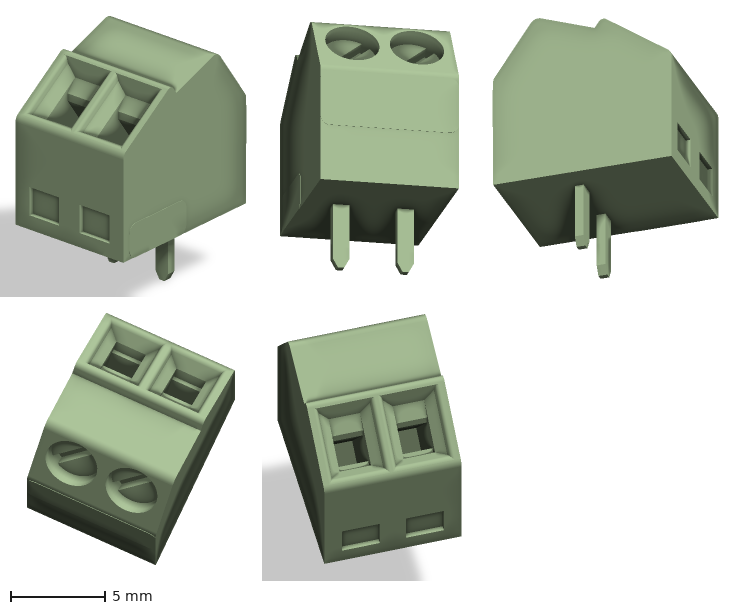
import cadquery as cq
import math


pole_pitch = 3.5
pole_positions = [-pole_pitch / 2, pole_pitch / 2]

housing_width = 7.5
housing_depth = 10.01
front_corner_height = 6.25
back_corner_height = 6.3
wire_face_angle = 35.0
wire_face_length = 4.77
tooth_drop = 0.72
ridge_angle = 20.0
corner_radius = 0.5
tooth_radius = 0.3

funnel_width = 3.34
funnel_top = 4.37
funnel_depth = 0.86
throat_width = 1.72
throat_bottom = 0.87
throat_top = 3.71
side_rim_radius = 0.21
side_rim_turn = 70.0
side_step_inset = 0.27
side_step_depth = 0.34
lower_rim_radius = 0.3
lower_rim_turn = 64.0

lip_position = 2.79
lip_depth = 1.08
clamp_front_depth = 1.45
clamp_length = 4.04
clamp_wall = 0.27
clamp_opening_height = 1.4

screw_diameter = 2.92
screw_axis_depth = 3.5
screw_recess = 0.9
slot_width = 0.55
slot_depth = 0.6
slot_angle = 45.0

pin_width = 0.9
pin_thickness = 0.5
pin_center_y = 5.72
pin_length = 3.5
pin_embedded_length = 2.48
pin_tip_width = 0.34
pin_tip_length = 0.5

window_width = 2.07
window_height = 1.64
window_bottom = 0.83
window_depth = 0.27
pad_thickness = 0.03
pad_corner_radius = 0.5
back_pad_bottom = 3.06
back_pad_height = 3.04
side_pad_front = 0.5
side_pad_length = 4.61
side_pad_height = 2.0

angle = math.radians(wire_face_angle)
up_y, up_z = math.cos(angle), math.sin(angle)
in_y, in_z = math.sin(angle), -math.cos(angle)
wire_origin = (0, 0, front_corner_height)

section_plane = cq.Plane(origin=wire_origin, xDir=(0, up_y, up_z), normal=(-1, 0, 0))
screw_plane = cq.Plane(origin=wire_origin, xDir=(1, 0, 0), normal=(0, up_y, up_z))

back_face_position = housing_depth * up_y + (back_corner_height - front_corner_height) * up_z
screw_head_position = back_face_position - screw_recess

clamp_height = clamp_opening_height + 2 * clamp_wall
clamp_width = throat_width + 2 * clamp_wall
clamp_bottom = throat_bottom
clamp_top = clamp_bottom + clamp_height
clamp_opening_bottom = clamp_bottom + clamp_wall
clamp_opening_top = clamp_opening_bottom + clamp_opening_height


def wire_box(width, bottom, height, front, length):
    """Box lined up with the wire face, centred on X = 0."""
    return (
        cq.Workplane(screw_plane)
        .workplane(offset=bottom)
        .center(0, front + length / 2)
        .rect(width, length)
        .extrude(height)
    )


def housing_block():
    """Side outline of the housing, extruded across the poles and rounded."""
    tooth_y = wire_face_length * up_y
    tooth_z = front_corner_height + wire_face_length * up_z
    valley_y = tooth_y + tooth_drop * in_y
    valley_z = tooth_z + tooth_drop * in_z
    ridge_slope = math.tan(math.radians(ridge_angle))
    back_slope = up_y / up_z
    ridge_y = (back_corner_height + back_slope * housing_depth - valley_z + ridge_slope * valley_y) / (
        ridge_slope + back_slope
    )
    ridge_z = valley_z + ridge_slope * (ridge_y - valley_y)
    block = (
        cq.Workplane("YZ")
        .moveTo(0, 0)
        .lineTo(0, front_corner_height)
        .lineTo(tooth_y, tooth_z)
        .lineTo(valley_y, valley_z)
        .lineTo(ridge_y, ridge_z)
        .lineTo(housing_depth, back_corner_height)
        .lineTo(housing_depth, 0)
        .close()
        .extrude(housing_width / 2, both=True)
    )
    rounded_corners = [
        (0, front_corner_height, corner_radius),
        (tooth_y, tooth_z, tooth_radius),
        (ridge_y, ridge_z, corner_radius),
        (housing_depth, back_corner_height, corner_radius),
    ]
    for corner_y, corner_z, radius in rounded_corners:
        block = block.edges(cq.NearestToPointSelector((0, corner_y, corner_z))).fillet(radius)
    return block


def wire_funnel():
    """Funnel whose lower and side rims are rounded, for one pole at X = 0."""
    rim_bottom = corner_radius * math.tan((math.pi / 2 - angle) / 2)
    lower_turn = math.radians(lower_rim_turn)
    side_turn = math.radians(side_rim_turn)
    half_width = funnel_width / 2

    def lower_rim_point(turned):
        along = rim_bottom + lower_rim_radius * math.sin(turned)
        return along, lower_rim_radius * (1 - math.cos(turned))

    def side_rim_point(turned):
        across = half_width - side_rim_radius * math.sin(turned)
        return across, side_rim_radius * (1 - math.cos(turned))

    walls_up_and_down = (
        cq.Workplane(section_plane)
        .moveTo(rim_bottom, 0)
        .threePointArc(lower_rim_point(lower_turn / 2), lower_rim_point(lower_turn))
        .lineTo(throat_bottom, funnel_depth)
        .lineTo(throat_top, funnel_depth)
        .lineTo(funnel_top, 0)
        .close()
        .extrude(funnel_width, both=True)
    )
    walls_at_sides = (
        cq.Workplane(screw_plane)
        .moveTo(0, 0)
        .lineTo(half_width, 0)
        .threePointArc(side_rim_point(side_turn / 2), side_rim_point(side_turn))
        .lineTo(half_width - side_step_inset, side_step_depth)
        .lineTo(throat_width / 2, funnel_depth)
        .lineTo(0, funnel_depth)
        .mirrorY()
        .extrude(wire_face_length)
    )
    return walls_up_and_down.intersect(walls_at_sides)


def wire_throat():
    """Passage from the funnel to the clamp, narrowed by the sloping lip above it."""
    return (
        cq.Workplane(section_plane)
        .moveTo(throat_bottom, funnel_depth)
        .lineTo(throat_bottom, clamp_front_depth)
        .lineTo(clamp_opening_top, clamp_front_depth)
        .lineTo(lip_position, lip_depth)
        .lineTo(throat_top, funnel_depth)
        .close()
        .extrude(throat_width / 2, both=True)
    )


def clamp_envelope():
    """Outer box of a clamp, which is also its pocket in the housing."""
    return wire_box(clamp_width, clamp_bottom, clamp_height, clamp_front_depth, clamp_length)


def screw_cylinder(end_position):
    """Cylinder on the screw axis from the top of the clamp to the given position."""
    return (
        cq.Workplane(screw_plane)
        .workplane(offset=clamp_top)
        .center(0, screw_axis_depth)
        .circle(screw_diameter / 2)
        .extrude(end_position - clamp_top)
    )


def front_window():
    """Shallow rectangular recess in the front wall, for one pole at X = 0."""
    center_height = window_bottom + window_height / 2
    return (
        cq.Workplane("XZ", origin=(0, 0, center_height))
        .rect(window_width, window_height)
        .extrude(-window_depth)
    )


def back_pad():
    """Thin rounded pad across the whole back wall."""
    center = (0, housing_depth + pad_thickness / 2, back_pad_bottom + back_pad_height / 2)
    return (
        cq.Workplane("XY", origin=center)
        .box(housing_width, pad_thickness, back_pad_height)
        .edges("|Y")
        .fillet(pad_corner_radius)
    )


def side_pad():
    """Thin rounded pad at the foot of the +X wall."""
    center = (
        (housing_width + pad_thickness) / 2,
        side_pad_front + side_pad_length / 2,
        side_pad_height / 2,
    )
    return (
        cq.Workplane("XY", origin=center)
        .box(pad_thickness, side_pad_length, side_pad_height)
        .edges("|X")
        .fillet(pad_corner_radius)
    )


def make_pin():
    """Flat solder pin with a tapered tip, for one pole at X = 0."""
    half_width = pin_width / 2
    half_tip = pin_tip_width / 2
    taper_start = -pin_length + pin_tip_length
    return (
        cq.Workplane("XZ", origin=(0, pin_center_y, 0))
        .moveTo(-half_width, pin_embedded_length)
        .lineTo(-half_width, taper_start)
        .lineTo(-half_tip, -pin_length)
        .lineTo(half_tip, -pin_length)
        .lineTo(half_width, taper_start)
        .lineTo(half_width, pin_embedded_length)
        .close()
        .extrude(pin_thickness / 2, both=True)
    )


def make_clamp():
    """Rectangular cage open at both ends, for one pole at X = 0."""
    opening = wire_box(
        throat_width, clamp_opening_bottom, clamp_opening_height, clamp_front_depth, clamp_length
    )
    return clamp_envelope().cut(opening)


def make_screw():
    """Slotted screw standing on the clamp, for one pole at X = 0."""
    slot = (
        cq.Workplane(screw_plane)
        .workplane(offset=screw_head_position - slot_depth)
        .center(0, screw_axis_depth)
        .transformed(rotate=(0, 0, slot_angle))
        .rect(2 * screw_diameter, slot_width)
        .extrude(slot_depth)
    )
    return screw_cylinder(screw_head_position).cut(slot)


def make_housing():
    """Housing with its pads and with the cavities of every pole."""
    housing = housing_block().union(back_pad()).union(side_pad())
    cavities = [
        wire_funnel(),
        wire_throat(),
        clamp_envelope(),
        screw_cylinder(back_face_position),
        make_pin(),
        front_window(),
    ]
    for pole_x in pole_positions:
        for cavity in cavities:
            housing = housing.cut(cavity.translate((pole_x, 0, 0)))
    return housing


housing = make_housing()
clamps = []
screws = []
pins = []
for pole_x in pole_positions:
    clamps.append(make_clamp().translate((pole_x, 0, 0)).val())
    screws.append(make_screw().translate((pole_x, 0, 0)).val())
    pins.append(make_pin().translate((pole_x, 0, 0)).val())

result = cq.Compound.makeCompound([housing.val(), *clamps, *screws, *pins])